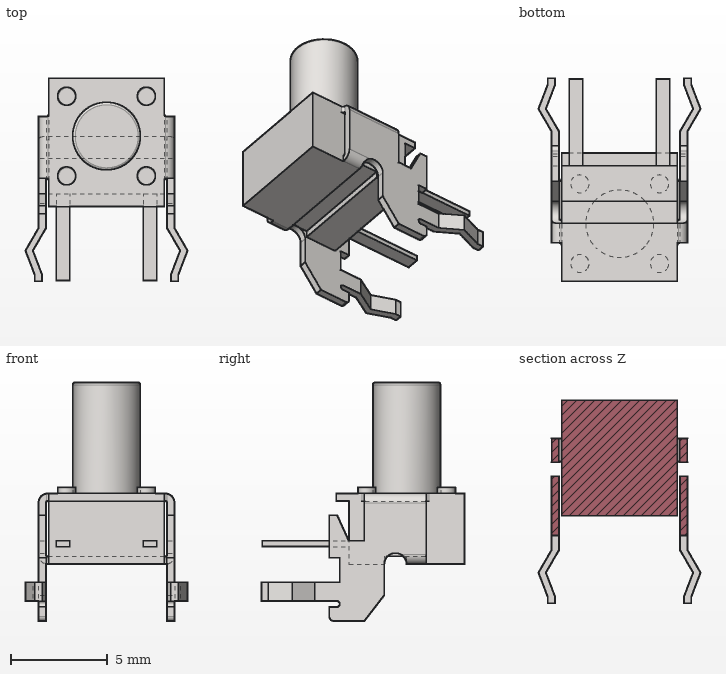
import cadquery as cq


OVERALL_WIDTH = 8.4
OVERALL_DEPTH = 10.52
OVERALL_HEIGHT = 12.36

BODY_SIDE = 6.0
HALF_BODY = BODY_SIDE / 2
PLATE_TOP = 3.66
SHEET = 0.4
PLATE_OVERHANG = 0.65
PLATE_FRONT = -HALF_BODY - PLATE_OVERHANG

BUTTON_RADIUS = 1.75
BUTTON_TOP = 9.4
BUTTON_ROUND = 0.12
RIVET_RADIUS = 0.47
RIVET_HEIGHT = 0.32
RIVET_ROUND = 0.04
RIVET_PITCH = 4.13

LEAD_PITCH = 4.5
LEAD_WIDTH = 0.72
LEAD_THICKNESS = 0.31
LEAD_TOP = 1.21
LEAD_SETBACK = 0.04

WALL_GAP = 0.14
WALL_INNER = HALF_BODY + WALL_GAP
WALL_OUTER = WALL_INNER + SHEET
BEND_RADIUS = 0.5
BEND_START = WALL_OUTER - BEND_RADIUS
INNER_BEND_RADIUS = BEND_RADIUS - SHEET
BEND_FOOT = PLATE_TOP - BEND_RADIUS
WALL_BACK = 1.01
STRAP_FRONT = -2.19
CORNER_ROUND = WALL_GAP

ARCH_RADIUS = 0.57
ARCH_Y = -0.58
LEG_BACK = ARCH_Y - ARCH_RADIUS

STOP_BASE_Z = LEAD_TOP
STOP_TOP_Z = 2.53
STOP_TOP_BACK = -3.6
LEG_FRONT = -4.02
STOP_BOTTOM_Z = 0.32
NECK_FRONT = -3.47
LEG_BOTTOM = BUTTON_TOP - OVERALL_HEIGHT
LEG_SLANT_TOP = -1.61
LEG_FOOT_BACK = STRAP_FRONT
LEG_ROUND = 0.25

FINGER_TOP = -0.94
FINGER_HEIGHT = 0.98
FINGER_BOTTOM = FINGER_TOP - FINGER_HEIGHT
FINGER_BEND = -4.77
FINGER_PEAK = -5.93
FINGER_TIP_BEND = -7.18
FINGER_END = HALF_BODY - OVERALL_DEPTH
FINGER_PEAK_X = OVERALL_WIDTH / 2
FINGER_TIP_SHIFT = 0.2
SLOT_HEIGHT = 0.31


def box(x0, x1, y0, y1, z0, z1):
    return cq.Workplane("XY").box(x1 - x0, y1 - y0, z1 - z0, centered=False).translate((x0, y0, z0))


def make_body():
    """Body block with its cross groove, plus the overhanging cover plate."""
    block = box(-HALF_BODY, HALF_BODY, -HALF_BODY, HALF_BODY, 0, PLATE_TOP)
    groove = box(-HALF_BODY, HALF_BODY, LEG_BACK, ARCH_Y + ARCH_RADIUS, 0, SHEET)
    plate = box(-HALF_BODY, HALF_BODY, PLATE_FRONT, HALF_BODY, PLATE_TOP - SHEET, PLATE_TOP)
    return block.cut(groove).union(plate)


def make_button():
    base = cq.Workplane("XY", origin=(0, 0, PLATE_TOP))
    button = base.circle(BUTTON_RADIUS).extrude(BUTTON_TOP - PLATE_TOP)
    return button.faces(">Z").edges().fillet(BUTTON_ROUND)


def make_rivets():
    heads = (
        cq.Workplane("XY")
        .workplane(offset=PLATE_TOP)
        .rect(RIVET_PITCH, RIVET_PITCH, forConstruction=True)
        .vertices()
        .circle(RIVET_RADIUS)
        .extrude(RIVET_HEIGHT)
    )
    return heads.faces(">Z").edges().fillet(RIVET_ROUND)


def make_lead(center_x):
    half = LEAD_WIDTH / 2
    lead_end = FINGER_END + LEAD_SETBACK
    return box(center_x - half, center_x + half, lead_end, -HALF_BODY, LEAD_TOP - LEAD_THICKNESS, LEAD_TOP)


def make_bend(front, back):
    """Quarter bend from the plate edge down into the +X wall."""
    section = (
        cq.Workplane("XZ", origin=(0, back, 0))
        .moveTo(HALF_BODY, PLATE_TOP)
        .lineTo(BEND_START, PLATE_TOP)
        .radiusArc((WALL_OUTER, BEND_FOOT), BEND_RADIUS)
        .lineTo(WALL_INNER, BEND_FOOT)
        .radiusArc((BEND_START, PLATE_TOP - SHEET), -INNER_BEND_RADIUS)
        .lineTo(HALF_BODY, PLATE_TOP - SHEET)
        .close()
    )
    return section.extrude(back - front)


def make_corner_round(strap_edge, outward):
    """Concave rounding where a strap edge meets the plate edge; outward is its Y direction."""
    start = (HALF_BODY, strap_edge + outward * CORNER_ROUND)
    end = (HALF_BODY + CORNER_ROUND, strap_edge)
    return (
        cq.Workplane("XY", origin=(0, 0, PLATE_TOP - SHEET))
        .moveTo(HALF_BODY, strap_edge)
        .lineTo(*start)
        .radiusArc(end, -outward * CORNER_ROUND)
        .close()
        .extrude(SHEET)
    )


def make_wall():
    """Flat +X wall with its leg and upright stop."""
    outline = [
        (WALL_BACK, BEND_RADIUS),
        (WALL_BACK, BEND_FOOT),
        (STRAP_FRONT, BEND_FOOT),
        (STRAP_FRONT, STOP_BASE_Z),
        (-HALF_BODY, STOP_BASE_Z),
        (STOP_TOP_BACK, STOP_TOP_Z),
        (LEG_FRONT, STOP_TOP_Z),
        (LEG_FRONT, STOP_BOTTOM_Z),
        (NECK_FRONT, STOP_BOTTOM_Z),
        (NECK_FRONT, FINGER_TOP),
        (LEG_FRONT, FINGER_TOP),
        (LEG_FRONT, LEG_BOTTOM),
        (LEG_FOOT_BACK, LEG_BOTTOM),
        (LEG_BACK, LEG_SLANT_TOP),
        (LEG_BACK, 0),
        (ARCH_Y, 0),
        (ARCH_Y, BEND_RADIUS),
    ]
    wall = cq.Workplane("YZ", origin=(WALL_INNER, 0, 0)).polyline(outline).close().extrude(SHEET)
    return wall.edges("|X and <Y and <Z").fillet(LEG_ROUND)


def make_finger():
    """Spring finger, bent outward and back in at constant thickness along X."""
    peak_shift = FINGER_PEAK_X - WALL_OUTER
    bends = [
        (0, NECK_FRONT),
        (0, FINGER_BEND),
        (peak_shift, FINGER_PEAK),
        (FINGER_TIP_SHIFT, FINGER_TIP_BEND),
        (FINGER_TIP_SHIFT, FINGER_END),
    ]
    inner = [(WALL_INNER + shift, y) for shift, y in bends]
    outer = [(WALL_OUTER + shift, y) for shift, y in reversed(bends)]
    plan = cq.Workplane("XY", origin=(0, 0, FINGER_BOTTOM)).polyline(inner + outer).close()
    return plan.extrude(FINGER_HEIGHT)


def make_slot():
    """Round-ended slot separating the finger from the foot of the leg."""
    radius = SLOT_HEIGHT / 2
    center_y = NECK_FRONT - radius
    center_z = FINGER_BOTTOM - radius
    end = cq.Workplane("YZ", origin=(WALL_INNER, center_y, center_z)).circle(radius).extrude(SHEET)
    opening = box(WALL_INNER, WALL_OUTER, LEG_FRONT, center_y, FINGER_BOTTOM - SLOT_HEIGHT, FINGER_BOTTOM)
    return end.union(opening)


def make_bracket_side():
    """Complete +X side of the bracket: bends, wall, leg and finger."""
    bottom_tab = make_bend(ARCH_Y, WALL_BACK).mirror("XY").translate((0, 0, PLATE_TOP))
    side = make_wall().cut(make_slot()).union(bottom_tab)
    arch_plane = cq.Workplane("YZ", origin=(HALF_BODY, ARCH_Y, 0))
    arch = arch_plane.circle(ARCH_RADIUS).extrude(WALL_OUTER - HALF_BODY)
    side = side.cut(arch)
    side = side.union(make_bend(STRAP_FRONT, WALL_BACK)).union(make_finger())
    side = side.union(make_corner_round(WALL_BACK, 1))
    return side.union(make_corner_round(STRAP_FRONT, -1))


result = make_body().union(make_button()).union(make_rivets())
for side_sign in (-1, 1):
    result = result.union(make_lead(side_sign * LEAD_PITCH / 2))
bracket_side = make_bracket_side()
result = result.union(bracket_side).union(bracket_side.mirror("YZ"))